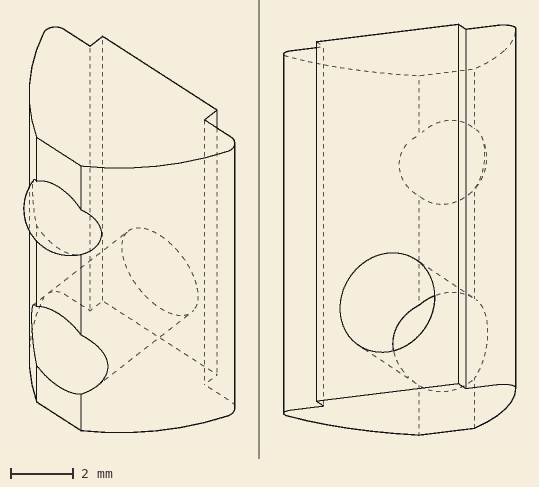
import cadquery as cq
import math

length = 12.0
width = 8.02
depth = 4.8

rib_width = 4.95
rib_height = 0.6
flat_width = 1.92

wing_radius = 0.4
flank_start_angle = 23.0

thread_diameter = 3.3
thread_height = 3.0

ball_diameter = 3.0
ball_projection = 0.95
ball_height = length - 3.0


def wing_point(angle):
    """Point on the rounded edge of the +X wing, at an angle in degrees from +X."""
    center_x = width / 2 - wing_radius
    center_y = -rib_height - wing_radius
    turn = math.radians(angle)
    return center_x + wing_radius * math.cos(turn), center_y + wing_radius * math.sin(turn)


def half_body():
    """+X half of the nut: rib, wing, bulged flank and front flat."""
    return (
        cq.Workplane("XY")
        .moveTo(0, 0)
        .lineTo(rib_width / 2, 0)
        .lineTo(rib_width / 2, -rib_height)
        .lineTo(*wing_point(90))
        .threePointArc(wing_point(0), wing_point(-flank_start_angle))
        .tangentArcPoint((flat_width / 2, -depth), relative=False)
        .lineTo(0, -depth)
        .close()
        .extrude(length)
    )


def body():
    half = half_body()
    return half.union(half.mirror("YZ")).clean()


def ball():
    """Spring ball, partly sunk into the front of the nut."""
    center_y = -depth - ball_projection + ball_diameter / 2
    return cq.Workplane("XY").sphere(ball_diameter / 2).translate((0, center_y, ball_height))


def thread_hole():
    """Cylinder crossing the whole depth of the nut along Y."""
    return (
        cq.Workplane("XZ")
        .center(0, thread_height)
        .circle(thread_diameter / 2)
        .extrude(depth)
    )


result = body().union(ball()).cut(thread_hole())